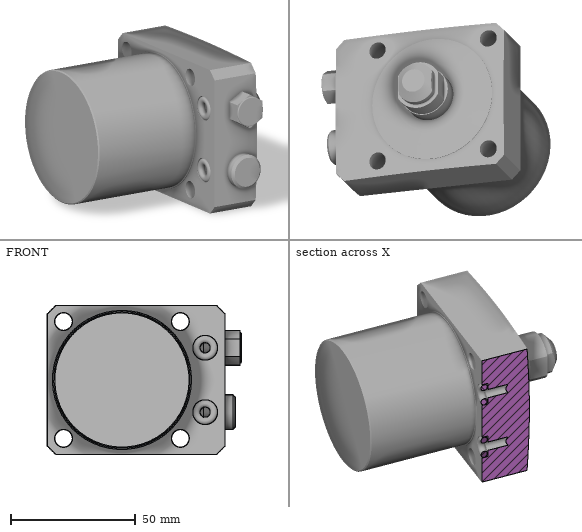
import cadquery as cq
import math


TOTAL_LENGTH = 92.5

FLANGE_LEFT = -30.1
FLANGE_RIGHT = 41.5
FLANGE_HEIGHT = 60.0
CORNER_CHAMFER = 3.5
BOLT_PITCH = 47.0
BOLT_HOLE_DIAMETER = 7.0

BARREL_DIAMETER = 54.9
BARREL_LENGTH = 46.5
BARREL_CHAMFER = 0.5
COLLAR_DIAMETER = 56.0
COLLAR_LENGTH = 0.4

TOP_SLOPE = 5.0
LID_TOP_Y = 25.0
LID_TOP_DIAMETER = 28.9
LID_DIAMETER = 50.9
LID_CONE_HEIGHT = 3.0
LID_STEP = 0.3
LID_CONE_BASE_Y = LID_TOP_Y - LID_CONE_HEIGHT
LID_BASE_Y = LID_CONE_BASE_Y - LID_STEP

PORT_X = 33.5
PORT_Z = 12.95
PORT_DIAMETER = 4.1
SEAL_OUTER_DIAMETER = 10.0
SEAL_SECTION = (SEAL_OUTER_DIAMETER - PORT_DIAMETER) / 2
SEAL_PROTRUSION = 0.5
SEAL_RECESS_DEPTH = SEAL_SECTION - SEAL_PROTRUSION

PLUG_Y = 13.0
CROSS_BORE_DIAMETER = 5.0
CROSS_BORE_END_X = PORT_X - CROSS_BORE_DIAMETER / 2
STEM_OVERREACH = 0.65
PLUG_STEM_END_X = PORT_X - STEM_OVERREACH
HEX_SIDES = 6
HEX_CORNER_DIAMETER = 14.1
HEX_LENGTH = 6.0
HEX_FACE_DIAMETER = HEX_CORNER_DIAMETER * math.cos(math.pi / HEX_SIDES)
HEX_FACE_LENGTH = 0.5
HEX_FACE_FILLET = 0.4
ROUND_PLUG_DIAMETER = 14.1
ROUND_PLUG_LENGTH = 4.1
ROUND_PLUG_CHAMFER = 1.0

ROD_DIAMETER = 20.0
ROD_SHOULDER_Y = 32.0
NECK_DIAMETER = 19.3
NECK_FLATS = 16.9
NECK_END_Y = 40.05
NOSE_DIAMETER = 16.5
NOSE_FLATS = 14.0
TIP_DIAMETER = 9.5
TIP_CONE_LENGTH = 3.0
ROD_TIP_Y = TOTAL_LENGTH - BARREL_LENGTH


def cylinder_y(diameter, start_y, end_y, x=0, z=0):
    """Cylinder parallel to Y."""
    length = end_y - start_y
    return cq.Workplane(
        cq.Solid.makeCylinder(diameter / 2, length, cq.Vector(x, start_y, z), cq.Vector(0, 1, 0))
    )


def cylinder_x(diameter, start_x, end_x, z):
    """Cylinder parallel to X on a cross-bore axis."""
    length = end_x - start_x
    return cq.Workplane(
        cq.Solid.makeCylinder(diameter / 2, length, cq.Vector(start_x, PLUG_Y, z), cq.Vector(1, 0, 0))
    )


def revolve_about_y(points):
    """Solid of revolution from (radius, Y) points."""
    return cq.Workplane("XY").polyline(points).close().revolve(360, (0, 0), (0, 1))


def make_flange():
    """Chamfered plate whose top is a shallow cone carrying the steeper lid."""
    plate = (
        cq.Workplane("XY")
        .box(FLANGE_RIGHT - FLANGE_LEFT, LID_TOP_Y, FLANGE_HEIGHT)
        .edges("|Y")
        .chamfer(CORNER_CHAMFER)
        .translate(((FLANGE_LEFT + FLANGE_RIGHT) / 2, LID_TOP_Y / 2, 0))
    )
    reach = FLANGE_RIGHT + FLANGE_HEIGHT / 2
    lid_radius = LID_DIAMETER / 2
    rim_y = LID_BASE_Y - (reach - lid_radius) * math.tan(math.radians(TOP_SLOPE))
    top_envelope = revolve_about_y([
        (0, 0),
        (reach, 0),
        (reach, rim_y),
        (lid_radius, LID_BASE_Y),
        (lid_radius, LID_CONE_BASE_Y),
        (LID_TOP_DIAMETER / 2, LID_TOP_Y),
        (0, LID_TOP_Y),
    ])
    return plate.intersect(top_envelope)


def make_barrel():
    """Chamfered cylinder below the flange, with a thin collar at its root."""
    barrel = cylinder_y(BARREL_DIAMETER, -BARREL_LENGTH, 0).faces("<Y").chamfer(BARREL_CHAMFER)
    return barrel.union(cylinder_y(COLLAR_DIAMETER, -COLLAR_LENGTH, 0))


def make_hex_plug(z):
    """Hexagonal plug head with a rounded disc on its end, and its stem."""
    hex_end_x = FLANGE_RIGHT + HEX_LENGTH
    head = (
        cq.Workplane("YZ", origin=(FLANGE_RIGHT, PLUG_Y, z))
        .transformed(rotate=(0, 0, 90))
        .polygon(HEX_SIDES, HEX_CORNER_DIAMETER)
        .extrude(HEX_LENGTH)
    )
    end_face = cylinder_x(HEX_FACE_DIAMETER, hex_end_x, hex_end_x + HEX_FACE_LENGTH, z)
    end_face = end_face.faces(">X").fillet(HEX_FACE_FILLET)
    return head.union(end_face).union(make_plug_stem(z))


def make_round_plug(z):
    """Round chamfered plug head and its stem."""
    head = cylinder_x(ROUND_PLUG_DIAMETER, FLANGE_RIGHT, FLANGE_RIGHT + ROUND_PLUG_LENGTH, z)
    head = head.faces(">X").chamfer(ROUND_PLUG_CHAMFER)
    return head.union(make_plug_stem(z))


def make_plug_stem(z):
    """Stem filling the cross bore to just past the port axis."""
    return cylinder_x(CROSS_BORE_DIAMETER, PLUG_STEM_END_X, FLANGE_RIGHT, z)


def make_housing():
    """Flange and barrel with bolt holes, oil passages and their plugs."""
    housing = make_flange().union(make_barrel())

    for x in (-BOLT_PITCH / 2, BOLT_PITCH / 2):
        for z in (-BOLT_PITCH / 2, BOLT_PITCH / 2):
            housing = housing.cut(cylinder_y(BOLT_HOLE_DIAMETER, 0, LID_TOP_Y, x, z))

    for z in (-PORT_Z, PORT_Z):
        housing = housing.cut(cylinder_y(SEAL_OUTER_DIAMETER, 0, SEAL_RECESS_DEPTH, PORT_X, z))
        housing = housing.cut(cylinder_y(PORT_DIAMETER, 0, PLUG_Y, PORT_X, z))
        housing = housing.cut(cylinder_x(CROSS_BORE_DIAMETER, CROSS_BORE_END_X, FLANGE_RIGHT, z))

    return housing.union(make_hex_plug(PORT_Z)).union(make_round_plug(-PORT_Z))


def flats_block(width, start_y, end_y):
    """Block that trims a rod stage to two flats facing -X and +X."""
    length = end_y - start_y
    return cq.Workplane("XY").box(width, length, ROD_DIAMETER).translate((0, (start_y + end_y) / 2, 0))


def make_rod():
    """Stepped piston rod standing on the lid, flattened at its neck and nose."""
    rod = cylinder_y(ROD_DIAMETER, LID_TOP_Y, ROD_SHOULDER_Y)
    neck = cylinder_y(NECK_DIAMETER, ROD_SHOULDER_Y, NECK_END_Y)
    neck = neck.intersect(flats_block(NECK_FLATS, ROD_SHOULDER_Y, NECK_END_Y))
    nose = revolve_about_y([
        (0, NECK_END_Y),
        (NOSE_DIAMETER / 2, NECK_END_Y),
        (NOSE_DIAMETER / 2, ROD_TIP_Y - TIP_CONE_LENGTH),
        (TIP_DIAMETER / 2, ROD_TIP_Y),
        (0, ROD_TIP_Y),
    ])
    nose = nose.intersect(flats_block(NOSE_FLATS, NECK_END_Y, ROD_TIP_Y))
    return rod.union(neck).union(nose)


def make_seal(z):
    """O-ring lying on the floor of its recess and standing proud of the flange face."""
    ring_radius = (SEAL_OUTER_DIAMETER - SEAL_SECTION) / 2
    center = cq.Vector(PORT_X, SEAL_RECESS_DEPTH - SEAL_SECTION / 2, z)
    return cq.Solid.makeTorus(ring_radius, SEAL_SECTION / 2, center, cq.Vector(0, 1, 0))


housing = make_housing()
rod = make_rod()
seals = [make_seal(z) for z in (-PORT_Z, PORT_Z)]

result = cq.Compound.makeCompound([housing.solids().val(), rod.solids().val(), *seals])